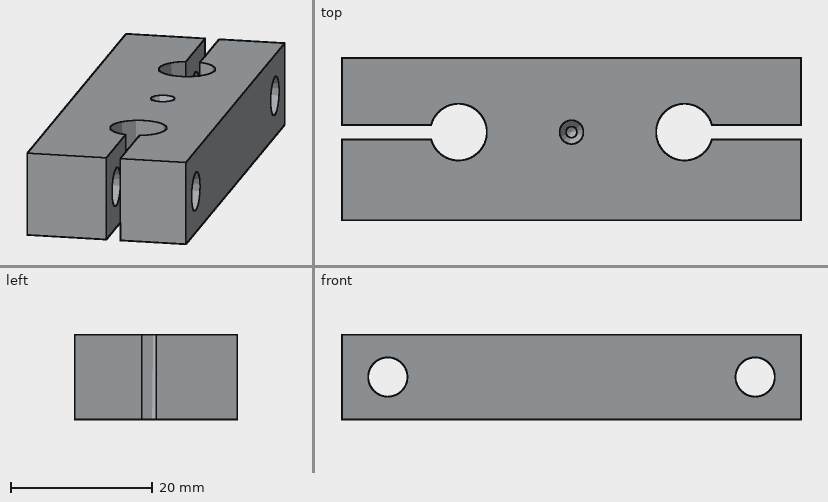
import cadquery as cq
import math

length = 65.0
width = 23.0
height = 12.0

bore_diameter = 8.0
bore_offset = 16.0
bore_line_y = 1.0
slot_width = 2.0

screw_diameter = 5.5
screw_offset = 26.0

countersink_diameter = 3.4
countersink_angle = 60.0
pilot_diameter = 1.55
pilot_length = 1.95
drill_point_angle = 120.0


def make_bore_and_slot(side):
    """Vertical through bore with a slot running out to the end on the given side."""
    bore_x = side * bore_offset
    slot_length = length / 2 - bore_offset
    slot_x = bore_x + side * slot_length / 2
    bore = cq.Workplane("XY").center(bore_x, bore_line_y).circle(bore_diameter / 2)
    bore = bore.extrude(height / 2, both=True)
    slot = cq.Workplane("XY").center(slot_x, bore_line_y).box(slot_length, slot_width, height)
    return bore.union(slot)


def make_screw_hole(side):
    """Horizontal hole across the slot, through the full width."""
    hole = cq.Workplane("XZ").center(side * screw_offset, 0).circle(screw_diameter / 2)
    return hole.extrude(width / 2, both=True)


def cone_depth(radial_change, included_angle):
    """Axial length over which a cone's radius changes by the given amount."""
    return radial_change / math.tan(math.radians(included_angle / 2))


def make_centre_hole():
    """Countersink, cylindrical pilot and conical tip, revolved about a vertical axis."""
    rim_radius = countersink_diameter / 2
    pilot_radius = pilot_diameter / 2
    pilot_top = -cone_depth(rim_radius - pilot_radius, countersink_angle)
    pilot_bottom = pilot_top - pilot_length
    tip = pilot_bottom - cone_depth(pilot_radius, drill_point_angle)
    profile = cq.Workplane("XZ").polyline(
        [(0, 0), (rim_radius, 0), (pilot_radius, pilot_top), (pilot_radius, pilot_bottom), (0, tip)]
    ).close()
    cutter = profile.revolve(360, (0, 0, 0), (0, 1, 0))
    return cutter.translate((0, bore_line_y, height / 2))


result = cq.Workplane("XY").box(length, width, height)
for end in (-1, 1):
    result = result.cut(make_bore_and_slot(end)).cut(make_screw_hole(end))
result = result.cut(make_centre_hole())